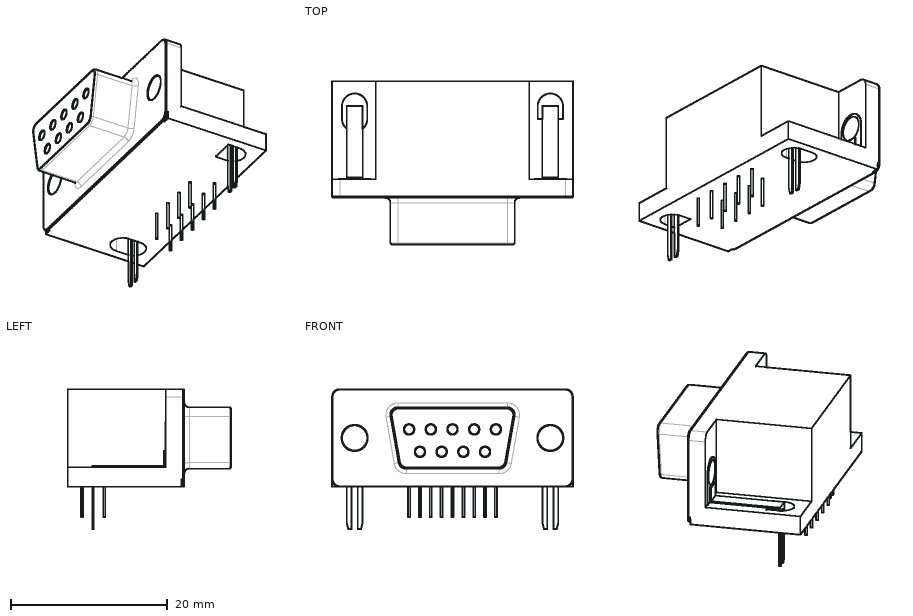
import cadquery as cq
import math


width = 30.8
height = 12.5
body_back = 14.95
flange_thickness = 2.37
base_thickness = 2.53
ear_width = 5.57
corner_radius = 1.0
face_plate_thickness = 0.4
plate_bevel_depth = 0.2
plate_bevel_inset = 0.1
rim_radius = 0.2

shell_length = 6.0
shell_height = 7.9
shell_top_width = 16.3
shell_side_angle = math.radians(10)
shell_root_radius = 0.6
insert_step = 0.1

contact_pitch = 2.77
row_spacing = 2.85
row_center_z = 5.9
top_row_count = 5
bottom_row_count = 4
socket_diameter = 1.2
socket_depth = shell_length
hole_chamfer = 0.1
pin_diameter = 0.3
pin_length = 3.88
pin_tip_chamfer = 0.05
rear_pin_y = 13.1
front_pin_y = 10.25

mount_x = 12.5
mount_z = height / 2
mount_hole_diameter = 3.2
slot_rear_y = 11.75
slot_front_y = 10.1
backing_width = 4.0
backing_thickness = 0.1
lock_width = 2.05
lock_thickness = 0.2
lock_back_y = 11.77
lock_top_z = 4.6
lock_bottom_z = -5.4
fork_gap = 0.77
fork_gap_top_z = base_thickness - 0.5
fork_tip_height = 0.83
fork_tip_inset = 0.2

overlap = 0.15


def block(x_range, y_range, z_range):
    """Box between the given limits."""
    size = [high - low for low, high in (x_range, y_range, z_range)]
    low_corner = (x_range[0], y_range[0], z_range[0])
    return cq.Workplane("XY").box(*size, centered=False).translate(low_corner)


def y_cylinder(x, z, diameter, y_start, y_end):
    """Cylinder along Y."""
    axis = cq.Vector(0, 1, 0)
    start = cq.Vector(x, y_start, z)
    return cq.Workplane(cq.Solid.makeCylinder(diameter / 2, y_end - y_start, start, axis))


def chamfered_hole(x, z, diameter, y_start, y_end):
    """Cutter for a hole along +Y, with a small countersink at y_start."""
    mouth = cq.Solid.makeCone(
        diameter / 2 + hole_chamfer,
        diameter / 2,
        hole_chamfer,
        cq.Vector(x, y_start, z),
        cq.Vector(0, 1, 0),
    )
    return y_cylinder(x, z, diameter, y_start, y_end).union(cq.Workplane(mouth))


def row_positions(count):
    """Centred X positions of one contact row."""
    return [(i - (count - 1) / 2) * contact_pitch for i in range(count)]


def make_housing():
    half = width / 2
    core_half = half - ear_width
    core = block((-core_half, core_half), (flange_thickness, body_back), (0, height))
    base = block((-half, half), (flange_thickness, body_back), (0, base_thickness))
    flange = block((-half, half), (face_plate_thickness, flange_thickness), (0, height))
    flange = flange.edges("|Y and >Z").fillet(corner_radius)
    plate = block((-half, half), (plate_bevel_depth, face_plate_thickness), (0, height))
    plate = plate.edges("|Y").fillet(corner_radius)
    bevel_angle = math.degrees(math.atan(plate_bevel_inset / plate_bevel_depth))
    front_outline = plate.faces("<Y").wires().toPending().workplane()
    plate = front_outline.extrude(plate_bevel_depth, taper=bevel_angle)
    return core.union(base).union(flange).union(plate)


def d_profile(y):
    """Trapezoid of the shell, drawn on the plane at the given Y."""
    top_half = shell_top_width / 2
    bottom_half = top_half - shell_height * math.tan(shell_side_angle)
    top = (height + shell_height) / 2
    bottom = (height - shell_height) / 2
    corners = [(-bottom_half, bottom), (bottom_half, bottom), (top_half, top), (-top_half, top)]
    return cq.Workplane("XZ", origin=(0, y, 0)).polyline(corners).close()


def make_shell():
    rim_y = insert_step - shell_length
    shell = d_profile(0).extrude(-rim_y).edges("|Y").fillet(corner_radius)
    shell = shell.faces("<Y").edges().fillet(rim_radius)
    return shell.faces("<Y").wires().toPending().extrude(insert_step)


def make_board_lock(x):
    """Bent strip behind the flange, ending in a two-legged fork below the base."""
    half = lock_width / 2
    sides = (x - half, x + half)
    backing_back = flange_thickness + backing_thickness
    strip_top = base_thickness + lock_thickness
    lock_front_y = lock_back_y - lock_thickness

    backing = y_cylinder(x, mount_z, backing_width, flange_thickness, backing_back)
    tab_sides = (x - backing_width / 2, x + backing_width / 2)
    tab = block(tab_sides, (flange_thickness, backing_back), (base_thickness, mount_z))
    upright = block(sides, (flange_thickness, backing_back + lock_thickness), (base_thickness, lock_top_z))
    strip = block(sides, (flange_thickness, lock_back_y), (base_thickness, strip_top))
    outline = [
        (x - half, strip_top),
        (x - half, lock_bottom_z + fork_tip_height),
        (x - half + fork_tip_inset, lock_bottom_z),
        (x + half - fork_tip_inset, lock_bottom_z),
        (x + half, lock_bottom_z + fork_tip_height),
        (x + half, strip_top),
    ]
    fork = cq.Workplane("XZ", origin=(0, lock_back_y, 0)).polyline(outline).close().extrude(lock_thickness)
    gap = block(
        (x - fork_gap / 2, x + fork_gap / 2), (lock_front_y, lock_back_y), (lock_bottom_z, fork_gap_top_z)
    )
    return backing.union(tab).union(upright).union(strip).union(fork.cut(gap))


def make_slot(x, round_front):
    """Cutter for the slot the fork drops through; its front end is round or square."""
    radius = mount_hole_diameter / 2
    slot = block((x - radius, x + radius), (slot_front_y, slot_rear_y), (0, base_thickness))
    ends = [slot_rear_y]
    if round_front:
        ends.append(slot_front_y)
    for y in ends:
        slot = slot.union(cq.Workplane("XY").center(x, y).circle(radius).extrude(base_thickness))
    return slot


def make_pin(x, y):
    pin = cq.Workplane("XY", origin=(x, y, -pin_length)).circle(pin_diameter / 2)
    return pin.extrude(pin_length + overlap).faces("<Z").chamfer(pin_tip_chamfer)


def add_root_fillet(part):
    """Blend the shell into the face plate."""
    half = shell_top_width / 2
    shell_bottom = (height - shell_height) / 2
    low = (-half - overlap, -overlap / 2, shell_bottom - overlap)
    high = (half + overlap, overlap / 2, height - shell_bottom + overlap)
    root_edges = part.edges(cq.selectors.BoxSelector(low, high, boundingbox=True))
    return root_edges.fillet(shell_root_radius)


result = add_root_fillet(make_housing().union(make_shell()))

mount_hole_end = flange_thickness + backing_thickness
for x in (-mount_x, mount_x):
    result = result.cut(make_slot(x, round_front=x < 0))
    result = result.union(make_board_lock(x))
    result = result.cut(chamfered_hole(x, mount_z, mount_hole_diameter, 0, mount_hole_end))

contact_rows = [
    (top_row_count, row_center_z + row_spacing / 2, rear_pin_y),
    (bottom_row_count, row_center_z - row_spacing / 2, front_pin_y),
]
socket_end = socket_depth - shell_length
for count, socket_z, pin_y in contact_rows:
    for x in row_positions(count):
        result = result.cut(chamfered_hole(x, socket_z, socket_diameter, -shell_length, socket_end))
        result = result.union(make_pin(x, pin_y))